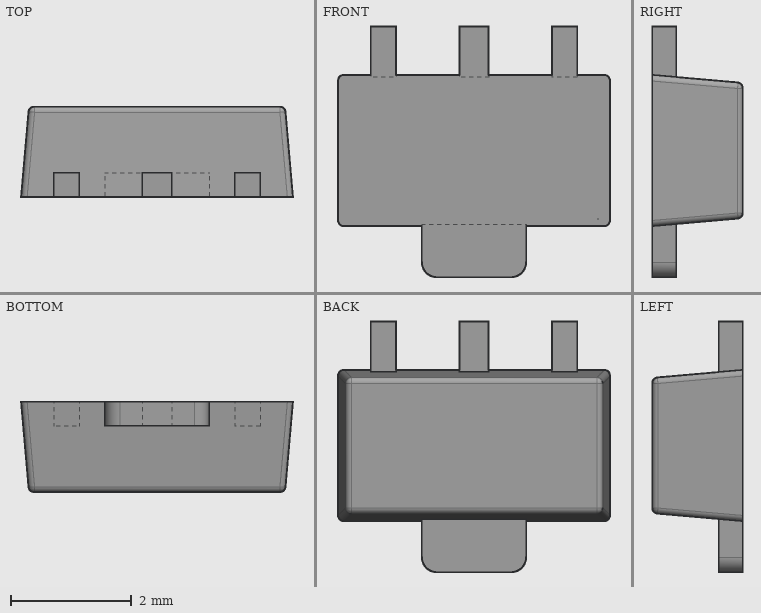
import cadquery as cq

body_width = 4.5
body_height = 2.5
body_depth = 1.5
draft_angle = 5.0
body_edge_radius = 0.1

metal_thickness = 0.4
lead_length = 0.8
lead_pitch = 1.5
outer_lead_width = 0.425
center_lead_width = 0.48
tab_width = 1.73
tab_length = 0.845
tab_corner_radius = 0.25


def make_body():
    """Block that narrows toward +Y, rounded everywhere except around its front face."""
    block = (
        cq.Workplane("XZ")
        .rect(body_width, body_height)
        .extrude(-body_depth, taper=draft_angle)
    )
    return block.edges("not(<Y)").fillet(body_edge_radius)


def make_metal_bar(x_center, width, z_bottom, z_top):
    """Flat metal bar spanning the given heights, with its front at Y = 0."""
    return (
        cq.Workplane("XY", origin=(x_center, metal_thickness / 2, z_bottom))
        .rect(width, metal_thickness)
        .extrude(z_top - z_bottom)
    )


def make_tab():
    """Heat tab below the body with rounded lower corners."""
    tab = make_metal_bar(0, tab_width, -body_height / 2 - tab_length, 0)
    return tab.edges("|Y and <Z").fillet(tab_corner_radius)


result = make_body().union(make_tab())

leads = [
    (-lead_pitch, outer_lead_width),
    (0, center_lead_width),
    (lead_pitch, outer_lead_width),
]
for lead_x, lead_width in leads:
    result = result.union(make_metal_bar(lead_x, lead_width, 0, body_height / 2 + lead_length))